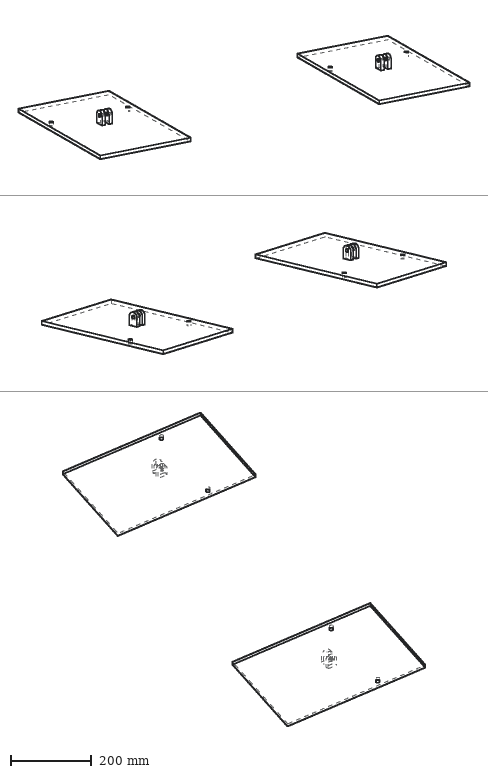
import cadquery as cq

overall_length = 1059.0
overall_height = 46.0

plate_length = 400.0
plate_width = 259.0
plate_thickness = 10.0
bracket_spacing = overall_length - plate_width

mounting_hole_diameter = 10.0
mounting_hole_x = -74.0
mounting_hole_edge_distance = 20.0
mounting_hole_y = plate_width / 2 - mounting_hole_edge_distance

lug_width = 25.0
lug_thickness = 10.0
lug_gap = 11.0
lug_hole_diameter = 8.2
lug_radius = lug_width / 2
lug_hole_z = overall_height - lug_radius
lug_offset = (lug_gap + lug_thickness) / 2


def make_plate():
    """Flat plate resting on Z = 0, with two through holes."""
    plate = cq.Workplane("XY").box(
        plate_length, plate_width, plate_thickness, centered=(True, True, False)
    )
    hole_centers = [(mounting_hole_x, -mounting_hole_y), (mounting_hole_x, mounting_hole_y)]
    return plate.faces(">Z").workplane(origin=(0, 0, 0)).pushPoints(hole_centers).hole(mounting_hole_diameter)


def make_lug(center_y):
    """Upright lug whose round top is concentric with its cross hole."""
    far_face_y = center_y + lug_thickness / 2
    lug = (
        cq.Workplane("XZ", origin=(0, far_face_y, 0))
        .moveTo(-lug_radius, plate_thickness)
        .lineTo(lug_radius, plate_thickness)
        .lineTo(lug_radius, lug_hole_z)
        .threePointArc((0, overall_height), (-lug_radius, lug_hole_z))
        .close()
        .extrude(lug_thickness)
    )
    cross_hole = (
        cq.Workplane("XZ", origin=(0, far_face_y, lug_hole_z))
        .circle(lug_hole_diameter / 2)
        .extrude(lug_thickness)
    )
    return lug.cut(cross_hole)


def make_bracket(center_y):
    """Plate and its two lugs as one solid, centered at the given Y."""
    bracket = make_plate()
    for lug_y in (-lug_offset, lug_offset):
        bracket = bracket.union(make_lug(lug_y))
    return bracket.translate((0, center_y, 0))


brackets = []
for bracket_y in (-bracket_spacing / 2, bracket_spacing / 2):
    brackets.append(make_bracket(bracket_y).val())

result = cq.Compound.makeCompound(brackets)